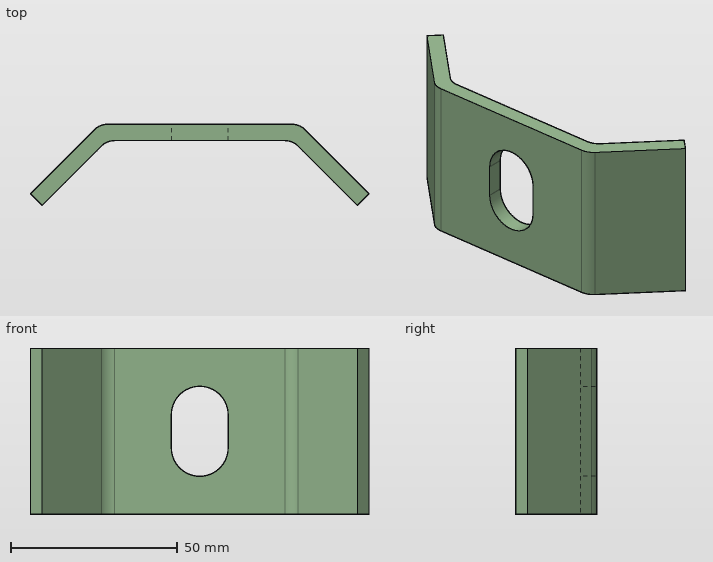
import cadquery as cq
import math

length = 102.0
depth = 24.5
height = 50.0

thickness = 5.0
bend_angle = math.radians(45)
bend_radius = 5.6

slot_width = 17.0
slot_height = 27.0

tip_shift_x = thickness * math.sin(bend_angle)
tip_shift_y = thickness * math.cos(bend_angle)
outer_tip_x = length / 2
outer_tip_y = depth / 2 - (depth - tip_shift_y)
outer_corner_x = outer_tip_x - (depth - tip_shift_y) / math.tan(bend_angle)
inner_corner_x = outer_corner_x - thickness * math.tan(bend_angle / 2)
back_y = depth / 2
web_front_y = back_y - thickness


def make_bent_sheet():
    """Flat web with a wing folded forward at each end."""
    right_half = [
        (inner_corner_x, web_front_y),
        (outer_tip_x - tip_shift_x, -depth / 2),
        (outer_tip_x, outer_tip_y),
        (outer_corner_x, back_y),
    ]
    left_half = [(-x, y) for x, y in reversed(right_half)]
    sheet = (
        cq.Workplane("XY")
        .workplane(offset=-height / 2)
        .polyline(right_half + left_half)
        .close()
        .extrude(height)
    )
    bend_corners = [(inner_corner_x, web_front_y), (outer_corner_x, back_y)]
    for x, y in bend_corners:
        for side in (-1, 1):
            edge = cq.selectors.NearestToPointSelector((side * x, y, 0))
            sheet = sheet.edges("|Z").edges(edge).fillet(bend_radius)
    return sheet


def make_slot():
    """Upright round-ended cutter passing through the web."""
    return (
        cq.Workplane("XZ")
        .slot2D(slot_height, slot_width, 90)
        .extrude(depth, both=True)
    )


result = make_bent_sheet().cut(make_slot())